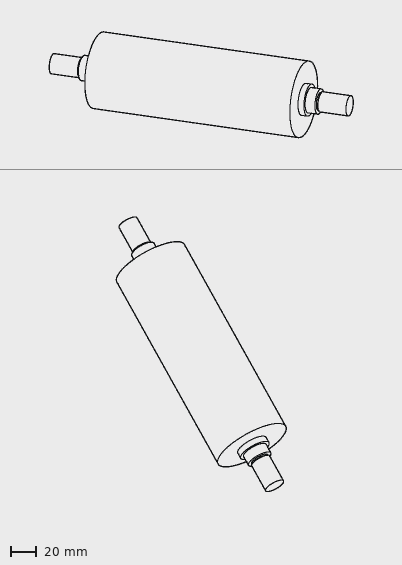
import cadquery as cq

overall_length = 246.0
body_length = 170.0
body_diameter = 60.0
flange_length = 5.0
flange_diameter = 25.0
seat_length = 8.0
seat_diameter = 20.0
groove_length = 1.5
groove_diameter = 14.0
journal_diameter = 16.0

end_length = (overall_length - body_length) / 2
journal_length = end_length - flange_length - seat_length - groove_length

end_steps = [
    (flange_length, flange_diameter),
    (seat_length, seat_diameter),
    (groove_length, groove_diameter),
    (journal_length, journal_diameter),
]


def add_shaft_end(roller, side):
    """Add the stepped shaft to the body face at +X (side=1) or -X (side=-1)."""
    start = body_length / 2
    for length, diameter in end_steps:
        step = cq.Workplane("YZ", origin=(side * start, 0, 0)).circle(diameter / 2).extrude(side * length)
        roller = roller.union(step)
        start += length
    return roller


result = cq.Workplane("YZ").circle(body_diameter / 2).extrude(body_length / 2, both=True)
for side in (-1, 1):
    result = add_shaft_end(result, side)